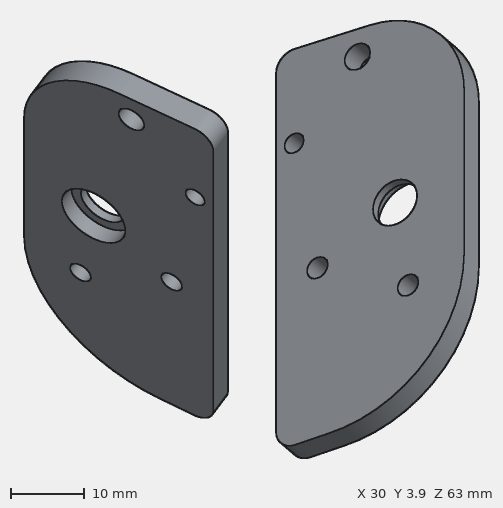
import cadquery as cq
import math

width = 30.0
thickness = 3.9
height = 63.0
top_left_radius = 15.0
bottom_left_radius = 21.85
bottom_rise = 0.1
right_radius = 3.0

seat_x = 11.0
seat_z = 33.5
seat_diameter = 10.0
seat_depth = 2.5
bore_diameter = 7.0

through_holes = [
    (17.0, 58.6, 4.05),
    (27.1, 48.0, 3.0),
    (23.4, 27.0, 3.3),
    (8.95, 19.7, 3.3),
]


def make_plate():
    """Upright plate with its front face on Y = 0 and rounded corners."""
    left_arc_top = bottom_rise + bottom_left_radius
    arc_inset = bottom_left_radius * (1 - math.sqrt(0.5))
    outline = (
        cq.Workplane("XZ")
        .moveTo(0, left_arc_top)
        .lineTo(0, height - top_left_radius)
        .tangentArcPoint((top_left_radius, height), relative=False)
        .lineTo(width - right_radius, height)
        .tangentArcPoint((width, height - right_radius), relative=False)
        .lineTo(width, right_radius)
        .tangentArcPoint((width - right_radius, 0), relative=False)
        .lineTo(bottom_left_radius, bottom_rise)
        .threePointArc((arc_inset, bottom_rise + arc_inset), (0, left_arc_top))
        .close()
    )
    return outline.extrude(-thickness)


def round_cutter(x, z, diameter, depth):
    """Cylinder running back from the front face."""
    return cq.Workplane("XZ").center(x, z).circle(diameter / 2).extrude(-depth)


result = make_plate()
result = result.cut(round_cutter(seat_x, seat_z, seat_diameter, seat_depth))
result = result.cut(round_cutter(seat_x, seat_z, bore_diameter, thickness))
for x, z, diameter in through_holes:
    result = result.cut(round_cutter(x, z, diameter, thickness))